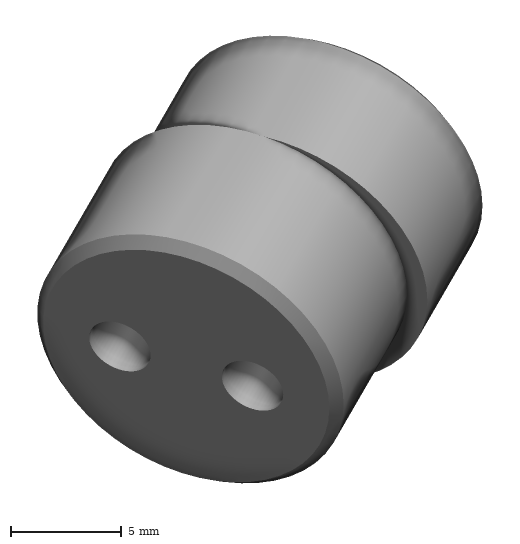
import cadquery as cq

overall_width = 16.0
diameter = 15.0
total_length = 15.0
front_length = 8.0
chamfer_size = 0.5
hole_diameter = 3.0
hole_spacing = 6.5

rear_length = total_length - front_length
eccentricity = overall_width - diameter


def cylinder_along_y(center_x, start_y, length, cylinder_diameter):
    """Solid cylinder running from start_y toward +Y."""
    return (
        cq.Workplane("XZ", origin=(center_x, start_y, 0))
        .circle(cylinder_diameter / 2)
        .extrude(-length)
    )


front_body = cylinder_along_y(0, 0, front_length, diameter)
front_body = front_body.faces("<Y").edges().chamfer(chamfer_size)
rear_body = cylinder_along_y(eccentricity, front_length, rear_length, diameter)
rear_body = rear_body.faces(">Y").edges().chamfer(chamfer_size)
result = front_body.union(rear_body)

for side in (-1, 1):
    hole = cylinder_along_y(side * hole_spacing / 2, 0, total_length, hole_diameter)
    result = result.cut(hole)